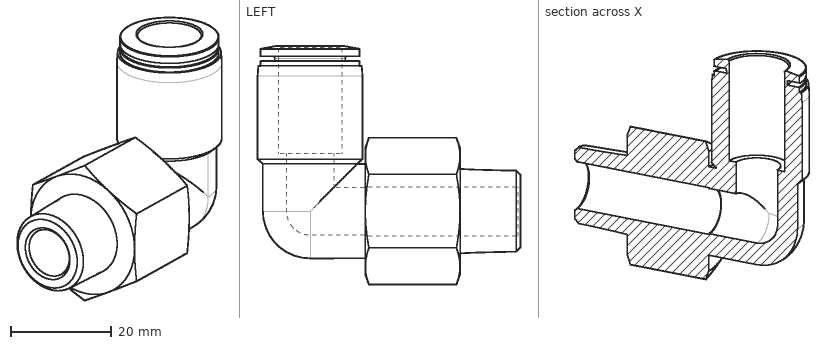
import cadquery as cq
import math

elbow_radius = 9.45
bore_radius = 9.5 / 2

hex_flats = 25.4
hex_corners = hex_flats / math.cos(math.pi / 6)
hex_start = 11.0
hex_length = 18.9
hex_end = hex_start + hex_length
hex_chamfer_angle = math.radians(20)

stub_end = 42.0
stub_base_radius = 8.45
stub_tip_radius = 8.15
stub_chamfer_length = 0.9
stub_chamfer_width = 0.9
stub_bore_radius = 9.8 / 2
stub_mouth_radius = 5.45
stub_mouth_depth = stub_mouth_radius - stub_bore_radius

body_radius = 21.0 / 2
body_rim_radius = 10.35
body_chamfer_top = 10.4
body_straight_top = 27.0
body_rim_top = 29.0

collar_radius = 19.8 / 2
collar_neck_radius = 14.1 / 2
collar_flare_radius = 7.15
collar_edge = 0.15
ring_top = 30.05
flare_bottom = 30.55
flange_bottom = 30.85
flange_top = 32.45
total_top = 47.65 - hex_corners / 2
collar_mouth_radius = 6.65
socket_radius = 12.7 / 2
socket_floor = 11.55
socket_chamfer = collar_mouth_radius - socket_radius


def turned(profile):
    """Revolve (radius, height) points, closed along the axis, about Z."""
    points = [(0, profile[0][1])] + profile + [(0, profile[-1][1])]
    return cq.Workplane("XZ").polyline(points).close().revolve(360, (0, 0), (0, 1))


def along_leg(solid):
    """Turn a solid built along +Z so that it runs along -Y."""
    return solid.rotate((0, 0, 0), (1, 0, 0), 90)


def elbow(radius, vertical_length, horizontal_length):
    """Two round legs with a ball at the corner."""
    vertical = cq.Workplane("XY").circle(radius).extrude(vertical_length)
    horizontal = along_leg(cq.Workplane("XY").circle(radius).extrude(horizontal_length))
    return cq.Workplane("XY").sphere(radius).union(vertical).union(horizontal)


def hex_nut():
    """Hexagon with corners up and down and both ends chamfered to the flats circle."""
    flats_radius = hex_flats / 2
    corner_radius = hex_corners / 2
    drop = (corner_radius - flats_radius) * math.tan(hex_chamfer_angle)
    blank = (
        cq.Workplane("XY").workplane(offset=hex_start)
        .polygon(6, hex_corners).extrude(hex_length)
        .rotate((0, 0, 0), (0, 0, 1), 90)
    )
    envelope = turned([
        (flats_radius, hex_start),
        (corner_radius, hex_start + drop),
        (corner_radius, hex_end - drop),
        (flats_radius, hex_end),
    ])
    return along_leg(blank.intersect(envelope))


def threaded_stub():
    return along_leg(turned([
        (stub_base_radius, hex_end),
        (stub_tip_radius, stub_end - stub_chamfer_length),
        (stub_tip_radius - stub_chamfer_width, stub_end),
    ]))


def socket_body():
    """Body, retaining ring, slightly flared neck and flange of the tube socket."""
    return turned([
        (elbow_radius, elbow_radius),
        (body_radius, body_chamfer_top),
        (body_radius, body_straight_top),
        (body_rim_radius, body_rim_top),
        (collar_radius, body_rim_top),
        (collar_radius, ring_top - collar_edge),
        (collar_radius - collar_edge, ring_top),
        (collar_neck_radius, ring_top),
        (collar_neck_radius, flare_bottom),
        (collar_flare_radius, flange_bottom),
        (collar_radius, flange_bottom),
        (collar_radius, flange_top - collar_edge),
        (collar_radius - collar_edge, flange_top),
        (collar_mouth_radius, total_top),
    ])


def tube_socket():
    return turned([
        (socket_radius, socket_floor),
        (socket_radius, total_top - socket_chamfer),
        (collar_mouth_radius, total_top),
    ])


def stub_bore():
    """Bore through the nut and stub, widening at the mouth."""
    return along_leg(turned([
        (stub_bore_radius, hex_start),
        (stub_bore_radius, stub_end - stub_mouth_depth),
        (stub_mouth_radius, stub_end),
    ]))


outside = (
    elbow(elbow_radius, elbow_radius, hex_start)
    .union(socket_body())
    .union(hex_nut())
    .union(threaded_stub())
)
passage = elbow(bore_radius, socket_floor, hex_start).union(tube_socket()).union(stub_bore())
result = outside.cut(passage)